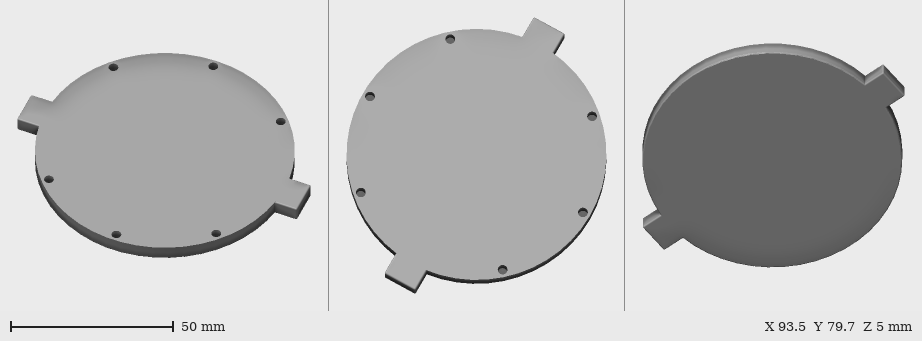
import cadquery as cq

overall_length = 93.5
disc_diameter = 79.7
thickness = 5.0
disc_rim_rounding = 0.4

tab_width = 10.9
tab_offset_y = -0.7
tab_edge_rounding = 0.5

hole_diameter = 3.0
hole_depth = 3.7
hole_spacing_x = 55.9
hole_spacing_y = 49.9
end_hole_spacing_y = 75.0


def make_disc():
    """Round plate with a rounded lower rim."""
    disc = cq.Workplane("XY").circle(disc_diameter / 2).extrude(thickness)
    return disc.faces("<Z").edges().fillet(disc_rim_rounding)


def make_tab_bar():
    """Bar across the disc whose ends form the two tabs."""
    bar = cq.Workplane("XY").center(0, tab_offset_y).rect(overall_length, tab_width)
    return bar.extrude(thickness).edges().fillet(tab_edge_rounding)


def drill_rim_holes(plate):
    """Four corner holes and two end holes, flat-bottomed."""
    corners = [(x, y) for x in (-hole_spacing_x / 2, hole_spacing_x / 2)
               for y in (-hole_spacing_y / 2, hole_spacing_y / 2)]
    ends = [(0, -end_hole_spacing_y / 2), (0, end_hole_spacing_y / 2)]
    top_plane = cq.Workplane("XY").workplane(offset=thickness)
    drills = top_plane.pushPoints(corners + ends).circle(hole_diameter / 2).extrude(-hole_depth)
    return plate.cut(drills)


result = drill_rim_holes(make_disc().union(make_tab_bar()))